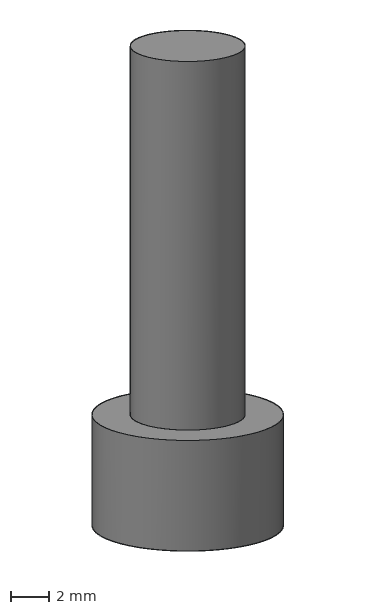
import cadquery as cq

total_length = 26.0
head_height = 6.0
head_diameter = 10.0
shank_diameter = head_height
shank_length = total_length - head_height

head = cq.Workplane("XY").circle(head_diameter / 2).extrude(head_height)
shank = (
    cq.Workplane("XY")
    .workplane(offset=head_height)
    .circle(shank_diameter / 2)
    .extrude(shank_length)
)

result = head.union(shank)